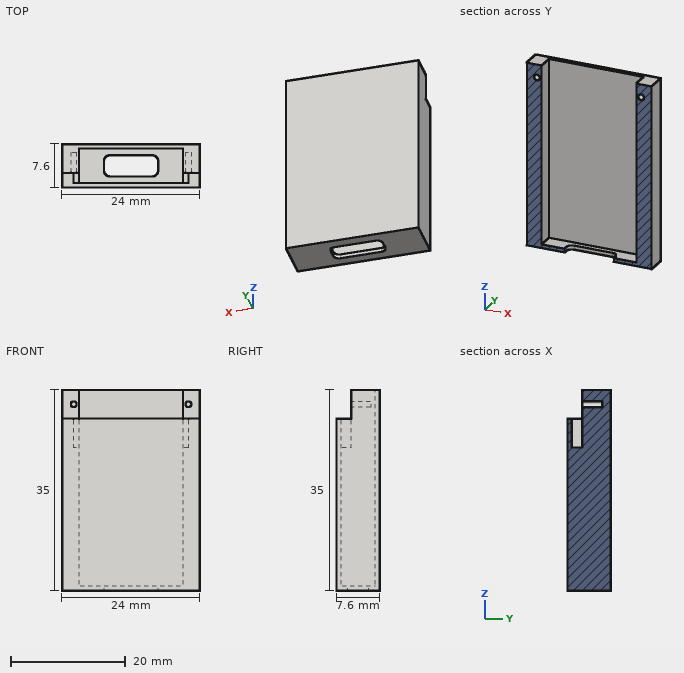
import cadquery as cq

width = 24.0
depth = 7.6
height = 35.0

thin_wall = 0.8
post_width = 2.95
rim_wall = 2.0

step_height = 5.0
post_depth = 5.0

recess_depth = 5.0

screw_diameter = 1.0
screw_depth = 3.5
screw_spacing = 20.0
screw_drop = step_height / 2

opening_length = 9.4
opening_width = 3.65
opening_radius = 1.0

front = -depth / 2
back = depth / 2
step_face = back - post_depth
rim_level = height - step_height
cavity_width = width - 2 * post_width
recess_width = width - 2 * rim_wall


def block(size_x, y_start, y_end, z_start, z_end):
    """Box centred on X, spanning the given Y and Z ranges."""
    size_y = y_end - y_start
    size_z = z_end - z_start
    return (
        cq.Workplane("XY")
        .box(size_x, size_y, size_z, centered=(True, False, False))
        .translate((0, y_start, z_start))
    )


def floor_opening():
    """Rounded rectangular cutter that passes through the floor."""
    return (
        cq.Workplane("XY")
        .rect(opening_length, opening_width)
        .extrude(thin_wall)
        .edges("|Z")
        .fillet(opening_radius)
    )


def screw_holes():
    """Pair of blind hole cutters running back from the step face."""
    half_spacing = screw_spacing / 2
    hole_level = height - screw_drop
    return (
        cq.Workplane("XZ", origin=(0, step_face, hole_level))
        .pushPoints([(-half_spacing, 0), (half_spacing, 0)])
        .circle(screw_diameter / 2)
        .extrude(-screw_depth)
    )


case = block(width, front, back, 0, height)
front_step = block(width, front, step_face, rim_level, height)
cavity = block(cavity_width, front + thin_wall, back - thin_wall, thin_wall, height)
cover_recess = block(recess_width, front + thin_wall, step_face, rim_level - recess_depth, rim_level)

result = (
    case.cut(front_step)
    .cut(cavity)
    .cut(cover_recess)
    .cut(floor_opening())
    .cut(screw_holes())
)